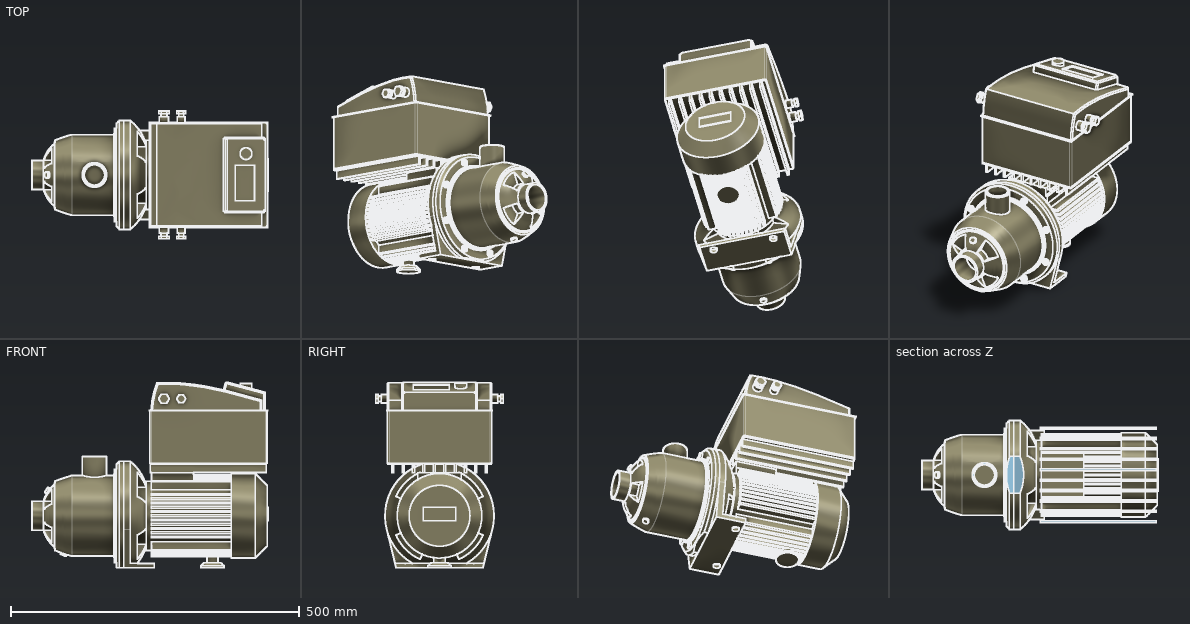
import cadquery as cq
import math


base_z = -90.0

suction_radius = 25.5
suction_bore_radius = 22.0
suction_hub_radius = 28.0
dome_start_x = 20.0
pocket_floor_x = 35.0
dome_end_x = 38.5
dome_end_radius = 54.0
lip_radius = 56.5
shoulder_x = 40.0
shoulder_radius = 60.3
barrel_start_x = 69.3
barrel_radius = 70.0
rim_start_x = 142.3
rim_step_x = 144.0
rim_front_radius = 71.8
rim_radius = 74.2
flange_x = 146.8
discharge_x = 108.5
discharge_radius = 21.5
discharge_bore_radius = 17.5
discharge_top_z = 103.5
port_bore_depth = 41.0
port_lip_chamfer = 1.2
disc_radius = 94.7
disc_chamfer = 5.5
bolt_count = 8
bolt_circle_radius = 82.0
bolt_head_radius = 5.5
bolt_socket_radius = 3.0
bolt_head_height = 3.5
plug_radius = 5.5
plug_height = 4.0
plug_neck_radius = 3.3
plug_neck_length = 8.0
vent_plug = (25.0, 45.0, -0.84, 0.54)
drain_plug = (54.5, -68.5, -0.39, -0.92)

bracket_x = 159.5
disc_end_x = 170.5
bracket_base_half_width = 75.5
bracket_corner_z = -23.5
foot_end_x = 212.8
foot_thickness = 7.8
window_floor_x = 183.0
lantern_end_x = 198.5
lantern_hub_radius = 53.7
foot_hole_x = 201.7
foot_hole_y = 53.5
foot_hole_radius = 6.0

opening_count = 4
opening_angle = 42.0

stator_x = 207.5
stator_end_x = 345.5
stator_core_radius = 60.3
stator_fin_radius = 71.5
stator_fin_count = 11
stator_fin_thickness = 3.0
side_fin_pitch = 7.5
top_fin_pitch = 7.8
cap_radius = 73.5
cap_bevel_x = 388.0
cap_end_x = 408.5
cap_end_radius = 53.0
cap_plate_end_x = 410.0
cap_plate_width = 56.5
cap_plate_height = 23.8
cap_plate_z = 3.3
pedestal_end_x = 280.5
pedestal_width = 75.5
pedestal_top_z = 74.5

foot_x = 313.2
foot_stem_radius = 10.0
foot_collar_radius = 14.8
foot_pad_radius = 20.0
foot_collar_z = -81.0
foot_pad_z = -87.0

box_x = 204.0
box_end_x = 408.0
box_width = 181.5
box_bottom_z = 91.5
box_corner_radius = 3.3
joint_z = 183.3
joint_lip_height = 1.2
joint_lip_overhang = 1.0
sink_plate_thickness = 2.5
sink_inset = 1.2
sink_fin_count = 10
sink_fin_pitch = 18.0
sink_fin_thickness = 3.5
lid_x = 206.5
lid_front_top_x = 217.0
lid_top_z = 230.5
lid_end_x = 398.5
lid_end_z = 200.5
lid_chamfer = 2.5
panel_tilt = 15.0
panel_x = 336.0
panel_top_z = base_z + 322.5
panel_end_x = 404.5
panel_width = 130.5
panel_front_height = 16.5
panel_chamfer = 2.5
knob_x = 371.5
knob_y = 37.0
knob_radius = 10.2
knob_top_z = 229.5
screen_x = 353.0
screen_end_x = 386.5
screen_y = -45.0
screen_end_y = 17.2
screen_depth = 2.0

gland_z = 203.0
gland_barrel_length = 10.2
gland_neck_length = 5.0
overall_width = 222.0
gland_cap_sides = 6
gland_sizes = [(229.0, 8.0, 5.5, 9.5), (259.0, 7.0, 4.5, 7.8)]


def x_cylinder(start_x, end_x, radius):
    """Cylinder on the shaft axis."""
    return cq.Workplane("YZ", origin=(start_x, 0, 0)).circle(radius).extrude(end_x - start_x)


def box_between(x0, x1, y0, y1, z0, z1):
    return cq.Workplane("XY").box(x1 - x0, y1 - y0, z1 - z0, centered=False).translate((x0, y0, z0))


def dome_openings(start_x, end_x, inner_radius, outer_radius):
    """Sector-shaped pockets between four ribs, centred on the diagonals."""
    reach = outer_radius / math.cos(math.radians(opening_angle / 2))
    cutters = cq.Workplane("YZ", origin=(start_x, 0, 0))
    for index in range(opening_count):
        middle = (index + 0.5) * 360 / opening_count
        edges = [math.radians(middle + side * opening_angle / 2) for side in (-1, 1)]
        corners = [(reach * math.cos(a), reach * math.sin(a)) for a in edges]
        cutters = cutters.polyline([(0, 0), *corners]).close()
    return cutters.extrude(end_x - start_x).cut(x_cylinder(start_x, end_x, inner_radius))


def make_plug(x, z, normal_x, normal_z):
    """Screw plug whose outer face is centred at (x, 0, z) and faces along the normal."""
    face = cq.Plane(origin=(x, 0, z), xDir=(0, 1, 0), normal=(normal_x, 0, normal_z))
    head = cq.Workplane(face).circle(plug_radius).extrude(-plug_height)
    return head.union(cq.Workplane(face).circle(plug_neck_radius).extrude(-plug_height - plug_neck_length))


def below_base():
    """Space under the standing level, which trims the flange and the lantern flat."""
    return box_between(0, foot_end_x, -disc_radius, disc_radius, base_z - disc_radius, base_z)


def make_casing():
    dome_middle = (27.0, 40.5)
    taper_middle = (54.5, 65.5)
    body = (
        cq.Workplane("XY")
        .moveTo(dome_start_x, 0)
        .lineTo(dome_start_x, suction_radius)
        .threePointArc(dome_middle, (dome_end_x, dome_end_radius))
        .lineTo(dome_end_x, lip_radius)
        .lineTo(shoulder_x, lip_radius)
        .lineTo(shoulder_x, shoulder_radius)
        .threePointArc(taper_middle, (barrel_start_x, barrel_radius))
        .lineTo(rim_start_x, barrel_radius)
        .lineTo(rim_start_x, rim_front_radius)
        .lineTo(rim_step_x, rim_front_radius)
        .lineTo(rim_step_x, rim_radius)
        .lineTo(flange_x, rim_radius)
        .lineTo(flange_x, disc_radius - disc_chamfer)
        .lineTo(flange_x + disc_chamfer, disc_radius)
        .lineTo(bracket_x, disc_radius)
        .lineTo(bracket_x, 0)
        .close()
        .revolve(360, (0, 0, 0), (1, 0, 0))
    )
    body = body.cut(dome_openings(dome_start_x, pocket_floor_x, suction_hub_radius, barrel_radius))
    suction = x_cylinder(0, pocket_floor_x, suction_radius)
    discharge_base = cq.Workplane("XY", origin=(discharge_x, 0, 0))
    discharge = discharge_base.circle(discharge_radius).extrude(discharge_top_z)
    discharge = discharge.faces(">Z").chamfer(port_lip_chamfer)
    body = body.cut(below_base()).union(suction).union(discharge).union(make_bolts())
    body = body.union(make_plug(*vent_plug)).union(make_plug(*drain_plug))
    discharge_bore = (
        cq.Workplane("XY", origin=(discharge_x, 0, discharge_top_z))
        .circle(discharge_bore_radius)
        .extrude(-port_bore_depth)
    )
    return body.cut(x_cylinder(0, port_bore_depth, suction_bore_radius)).cut(discharge_bore)


def make_bolts():
    """Ring of socket-head bolts on the front of the casing flange."""
    return (
        cq.Workplane("YZ", origin=(flange_x, 0, 0))
        .polarArray(bolt_circle_radius, 180 / bolt_count, 360, bolt_count)
        .circle(bolt_head_radius)
        .circle(bolt_socket_radius)
        .extrude(-bolt_head_height)
    )


def make_bracket():
    """Upright plate that runs tangentially down from the disc, with a foot bent to the rear."""
    corner_y = math.sqrt(disc_radius**2 - bracket_corner_z**2)
    profile = (
        cq.Workplane("YZ", origin=(bracket_x, 0, 0))
        .polyline([
            (-corner_y, bracket_corner_z),
            (corner_y, bracket_corner_z),
            (bracket_base_half_width, base_z),
            (-bracket_base_half_width, base_z),
        ])
        .close()
    )
    bracket = profile.extrude(foot_end_x - bracket_x)
    behind_plate = box_between(
        disc_end_x, foot_end_x, -disc_radius, disc_radius, base_z + foot_thickness, disc_radius
    )
    holes = (
        cq.Workplane("XY", origin=(0, 0, base_z))
        .pushPoints([(foot_hole_x, -foot_hole_y), (foot_hole_x, foot_hole_y)])
        .circle(foot_hole_radius)
        .extrude(foot_thickness)
    )
    return bracket.cut(behind_plate).cut(holes)


def make_lantern():
    dome_middle = (187.5, 76.5)
    body = (
        cq.Workplane("XY")
        .moveTo(bracket_x, 0)
        .lineTo(bracket_x, disc_radius)
        .lineTo(disc_end_x, disc_radius)
        .threePointArc(dome_middle, (lantern_end_x, lantern_hub_radius))
        .lineTo(lantern_end_x, 0)
        .close()
        .revolve(360, (0, 0, 0), (1, 0, 0))
    )
    windows = dome_openings(window_floor_x, lantern_end_x, lantern_hub_radius, disc_radius)
    return body.cut(windows).cut(below_base()).union(make_bracket())


def make_stator():
    """Round core with parallel fins on four sides, all ending on one round envelope."""
    length = stator_end_x - stator_x
    middle_x = (stator_x + stator_end_x) / 2
    side_fin = cq.Workplane("XY").box(length, 2 * stator_fin_radius, stator_fin_thickness)
    top_fin = cq.Workplane("XY").box(length, stator_fin_thickness, 2 * stator_fin_radius)
    stator = x_cylinder(stator_x, stator_end_x, stator_core_radius)
    envelope = x_cylinder(stator_x, stator_end_x, stator_fin_radius)
    for index in range(stator_fin_count):
        step = index - (stator_fin_count - 1) / 2
        stator = stator.union(side_fin.translate((middle_x, 0, step * side_fin_pitch)).intersect(envelope))
        stator = stator.union(top_fin.translate((middle_x, step * top_fin_pitch, 0)).intersect(envelope))
    return stator


def make_motor():
    neck = x_cylinder(lantern_end_x, stator_x, stator_core_radius)
    cap = (
        cq.Workplane("XY")
        .polyline([
            (stator_end_x, 0),
            (stator_end_x, cap_radius),
            (cap_bevel_x, cap_radius),
            (cap_end_x, cap_end_radius),
            (cap_end_x, 0),
        ])
        .close()
        .revolve(360, (0, 0, 0), (1, 0, 0))
    )
    cap_plate = (
        cq.Workplane("YZ", origin=(cap_end_x, 0, cap_plate_z))
        .rect(cap_plate_width, cap_plate_height)
        .extrude(cap_plate_end_x - cap_end_x)
    )
    pedestal = box_between(
        stator_x, pedestal_end_x, -pedestal_width / 2, pedestal_width / 2, 0, pedestal_top_z
    )
    return make_stator().union(neck).union(cap).union(cap_plate).union(pedestal)


def make_support_foot():
    return (
        cq.Workplane("XZ")
        .polyline([
            (0, base_z),
            (foot_pad_radius, base_z),
            (foot_pad_radius, foot_pad_z),
            (foot_collar_radius, foot_collar_z),
            (foot_stem_radius, foot_collar_z),
            (foot_stem_radius, -stator_fin_radius),
            (0, -stator_fin_radius),
        ])
        .close()
        .revolve(360, (0, 0, 0), (0, 1, 0))
        .translate((foot_x, 0, 0))
    )


def make_housing():
    """Controller box with a lip at the lid joint and a finned heat sink underneath."""
    half = box_width / 2
    box = box_between(box_x, box_end_x, -half, half, box_bottom_z, joint_z)
    box = box.edges("|Z").fillet(box_corner_radius)
    lip = box_between(
        box_x - joint_lip_overhang,
        box_end_x + joint_lip_overhang,
        -half - joint_lip_overhang,
        half + joint_lip_overhang,
        joint_z - joint_lip_height,
        joint_z,
    )
    sink_x = box_x + sink_inset
    sink_end_x = box_end_x - sink_inset
    sink_bottom_z = box_bottom_z - sink_plate_thickness
    body = box.union(lip).union(
        box_between(sink_x, sink_end_x, sink_inset - half, half - sink_inset, sink_bottom_z, box_bottom_z)
    )
    for index in range(sink_fin_count):
        middle = (index - (sink_fin_count - 1) / 2) * sink_fin_pitch
        side = sink_fin_thickness / 2
        body = body.union(
            box_between(sink_x, sink_end_x, middle - side, middle + side, pedestal_top_z, sink_bottom_z)
        )
    return body


def make_panel():
    """Tilted control panel at the rear of the lid, with a sunk screen; it reaches down to the joint."""
    tilt = math.radians(panel_tilt)
    end_z = panel_top_z - (panel_end_x - panel_x) * math.tan(tilt)
    front_x = panel_x - panel_front_height * math.sin(tilt)
    front_z = panel_top_z - panel_front_height * math.cos(tilt)
    panel = (
        cq.Workplane("XZ", origin=(0, panel_width / 2, 0))
        .polyline([
            (panel_x, panel_top_z),
            (panel_end_x, end_z),
            (panel_end_x, joint_z),
            (panel_x, joint_z),
            (front_x, front_z),
        ])
        .close()
        .extrude(panel_width)
    )
    screen_z = panel_top_z - (screen_x - panel_x) * math.tan(tilt)
    face = cq.Plane(
        origin=(screen_x, screen_y, screen_z),
        xDir=(math.cos(tilt), 0, -math.sin(tilt)),
        normal=(math.sin(tilt), 0, math.cos(tilt)),
    )
    panel = panel.edges("|Z and >X").chamfer(panel_chamfer)
    front_corners = cq.selectors.ParallelDirSelector(face.zDir)
    panel = panel.edges(front_corners).chamfer(panel_chamfer)
    top_face = panel.faces(cq.selectors.DirectionMinMaxSelector(face.zDir, True))
    panel = top_face.edges("not >X").chamfer(panel_chamfer)
    screen_length = (screen_end_x - screen_x) / math.cos(tilt)
    screen = (
        cq.Workplane(face).rect(screen_length, screen_end_y - screen_y, centered=False).extrude(-screen_depth)
    )
    return panel.cut(screen)


def make_lid():
    front_middle = (210.0, 207.5)
    top_points = [(333.0, 218.0), (280.5, 228.0)]
    shell = (
        cq.Workplane("XZ", origin=(0, box_width / 2, 0))
        .moveTo(lid_end_x, joint_z)
        .lineTo(lid_end_x, lid_end_z)
        .spline([*top_points, (lid_front_top_x, lid_top_z)], includeCurrent=True)
        .threePointArc(front_middle, (lid_x, joint_z))
        .close()
        .extrude(box_width)
    )
    shell = shell.faces("<Y or >Y").edges("not <Z").chamfer(lid_chamfer)
    knob_base = cq.Workplane("XY", origin=(knob_x, knob_y, lid_end_z))
    knob = knob_base.circle(knob_radius).extrude(knob_top_z - lid_end_z)
    return shell.union(make_panel()).union(knob)


def make_gland(x, gland_radius, neck_radius, hex_radius, side):
    """Cable gland on one side wall of the lid; side is -1 or +1 along Y."""
    wall = box_width / 2
    neck_start = wall + gland_barrel_length
    hex_start = neck_start + gland_neck_length
    hex_length = overall_width / 2 - hex_start
    start = cq.Workplane("XZ", origin=(x, side * wall, gland_z))
    gland = start.circle(gland_radius).extrude(-side * gland_barrel_length)
    neck = start.workplane(offset=-side * gland_barrel_length).circle(neck_radius)
    gland = gland.union(neck.extrude(-side * gland_neck_length))
    cap = start.workplane(offset=-side * (hex_start - wall)).polygon(gland_cap_sides, 2 * hex_radius)
    return gland.union(cap.extrude(-side * hex_length))


casing = make_casing()
lantern = make_lantern()
motor = make_motor()
support_foot = make_support_foot()
housing = make_housing()
lid = make_lid()
glands = [make_gland(*size, side) for size in gland_sizes for side in (-1, 1)]

result = cq.Compound.makeCompound([
    casing.val(),
    lantern.val(),
    motor.val(),
    support_foot.val(),
    housing.val(),
    lid.val(),
    *[gland.val() for gland in glands],
])